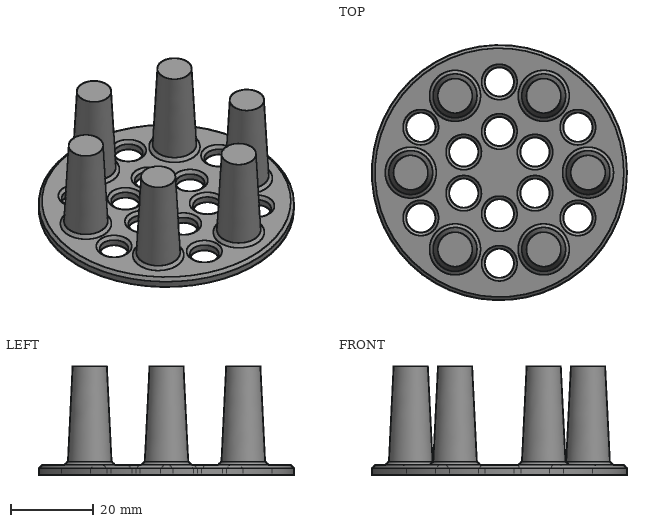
import cadquery as cq

plate_diameter = 62.0
plate_thickness = 2.5
edge_chamfer = 0.8

total_height = 26.5
pin_count = 6
pin_circle_radius = 21.5
pin_top_diameter = 8.4
pin_base_diameter = 10.65
flare_diameter = 12.4
flare_height = 0.8

hole_diameter = 7.0
holes_per_ring = 6
hole_ring_radii = (10.0, 22.0)
hole_start_angle = 30.0


def make_plate():
    """Disc with its upper rim chamfered."""
    disc = cq.Workplane("XY").circle(plate_diameter / 2).extrude(plate_thickness)
    return disc.faces(">Z").edges().chamfer(edge_chamfer)


def make_pin():
    """Tapered pin with its flare, revolved about the Z axis from inside the plate."""
    return (
        cq.Workplane("XZ")
        .moveTo(0, plate_thickness / 2)
        .lineTo(flare_diameter / 2, plate_thickness / 2)
        .lineTo(flare_diameter / 2, plate_thickness)
        .lineTo(pin_base_diameter / 2, plate_thickness + flare_height)
        .lineTo(pin_top_diameter / 2, total_height)
        .lineTo(0, total_height)
        .close()
        .revolve(360, (0, 0, 0), (0, 1, 0))
    )


def make_hole_cutter():
    """Straight bore that widens into a countersink at the plate's top face."""
    bore_radius = hole_diameter / 2
    return (
        cq.Workplane("XZ")
        .lineTo(bore_radius, 0)
        .lineTo(bore_radius, plate_thickness - edge_chamfer)
        .lineTo(bore_radius + edge_chamfer, plate_thickness)
        .lineTo(0, plate_thickness)
        .close()
        .revolve(360, (0, 0, 0), (0, 1, 0))
    )


def place_on_ring(body, radius, start_angle, count):
    """Copies of a body spaced evenly around the Z axis."""
    ring = cq.Workplane("XY").polarArray(radius, start_angle, 360, count)
    return ring.eachpoint(body.val(), combine=False)


result = make_plate()

for ring_radius in hole_ring_radii:
    holes = place_on_ring(make_hole_cutter(), ring_radius, hole_start_angle, holes_per_ring)
    result = result.cut(holes)

result = result.union(place_on_ring(make_pin(), pin_circle_radius, 0, pin_count))